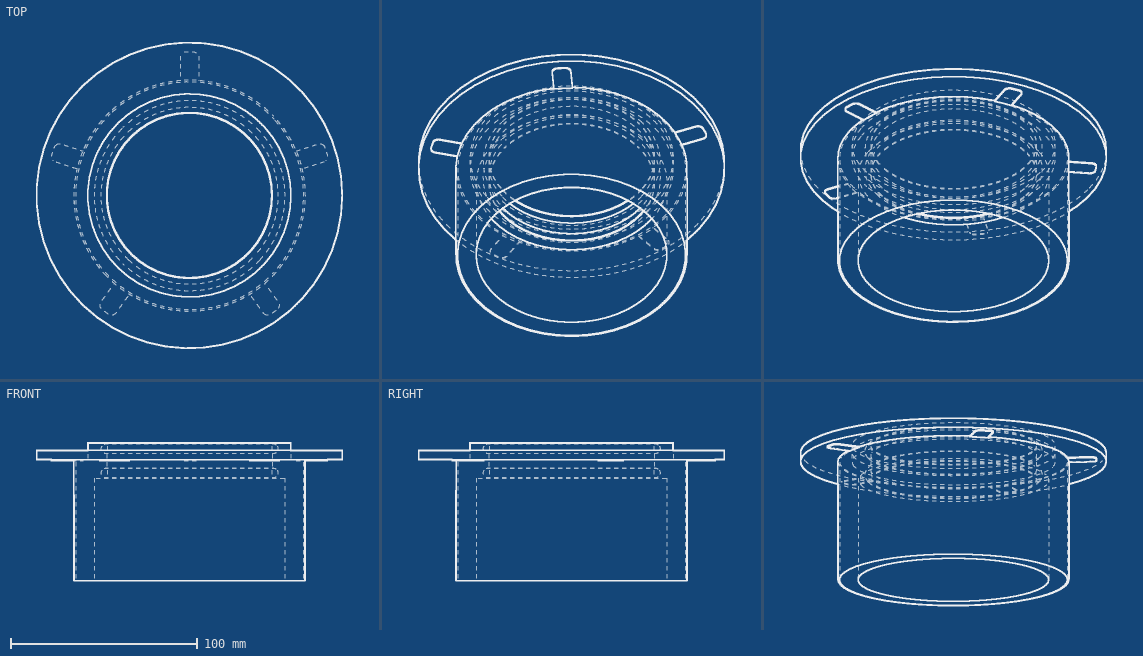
import cadquery as cq

total_height = 74.0
collar_height = 4.0
flange_thickness = 5.0
flange_diameter = 164.0
sleeve_diameter = 124.0
sleeve_edge_radius = 0.5

bore_diameter = 88.9
chamber_diameter = 102.2
tube_wall = 10.0

groove_diameter = 95.0
groove_width = 5.0
groove_lip = 0.5
ring_inner_diameter = 88.2

pad_count = 5
pad_first_angle = 90.0
pad_width = 10.0
pad_outer_radius = 77.0
pad_corner_radius = 3.0
pad_height = 0.5

collar_diameter = bore_diameter + 2 * tube_wall
tube_diameter = chamber_diameter + 2 * tube_wall
flange_top = total_height - collar_height
flange_bottom = flange_top - flange_thickness
neck_bottom = flange_bottom - tube_wall
ring_heights = [
    total_height - groove_lip - groove_width / 2,
    neck_bottom + groove_lip + groove_width / 2,
]


def disc(diameter, bottom, top):
    """Upright cylinder on the Z axis between two heights."""
    return cq.Workplane("XY").workplane(offset=bottom).circle(diameter / 2).extrude(top - bottom)


def make_ring(height):
    """Seal ring that fills its rounded groove and bulges slightly into the bore."""
    bore_radius = bore_diameter / 2
    low = height - groove_width / 2
    high = height + groove_width / 2
    return (
        cq.Workplane("XZ")
        .moveTo(bore_radius, low)
        .threePointArc((groove_diameter / 2, height), (bore_radius, high))
        .threePointArc((ring_inner_diameter / 2, height), (bore_radius, low))
        .close()
        .revolve(360, (0, 0), (0, 1))
    )


def make_tube():
    """Stepped tube of even wall: a narrow grooved neck above a wide chamber."""
    tube = disc(tube_diameter, 0, flange_bottom)
    tube = tube.union(disc(collar_diameter, flange_bottom, total_height))
    tube = tube.cut(disc(bore_diameter, 0, total_height))
    tube = tube.cut(disc(chamber_diameter, 0, neck_bottom))
    for height in ring_heights:
        tube = tube.cut(make_ring(height))
    return tube


def make_pad(angle):
    """Thin radial pad under the flange, with rounded outer corners."""
    inner_radius = tube_diameter / 2
    return (
        cq.Workplane("XY")
        .workplane(offset=flange_bottom - pad_height)
        .center((inner_radius + pad_outer_radius) / 2, 0)
        .rect(pad_outer_radius - inner_radius, pad_width)
        .extrude(pad_height)
        .edges("|Z and >X")
        .fillet(pad_corner_radius)
        .rotate((0, 0, 0), (0, 0, 1), angle)
    )


def make_sleeve():
    """Thin flanged sleeve around the tube, with pads spaced evenly under the flange."""
    sleeve = disc(sleeve_diameter, 0, flange_bottom).faces("<Z").edges().fillet(sleeve_edge_radius)
    sleeve = sleeve.union(disc(flange_diameter, flange_bottom, flange_top))
    for index in range(pad_count):
        sleeve = sleeve.union(make_pad(pad_first_angle + index * 360 / pad_count))
    sleeve = sleeve.cut(disc(tube_diameter, 0, flange_bottom))
    return sleeve.cut(disc(collar_diameter, flange_bottom, flange_top))


tube = make_tube()
sleeve = make_sleeve()
rings = [make_ring(height) for height in ring_heights]
result = cq.Compound.makeCompound([tube.val(), sleeve.val(), *[ring.val() for ring in rings]])